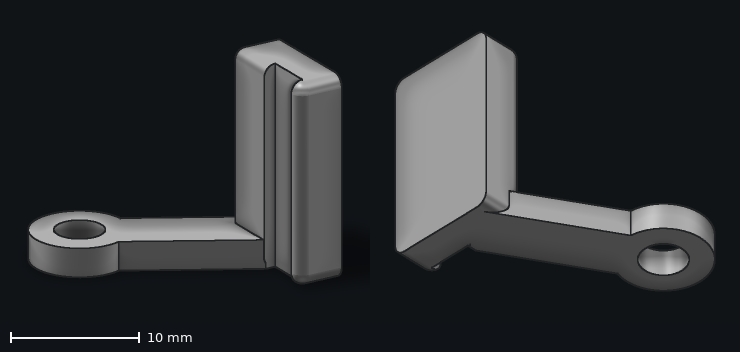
import cadquery as cq

overall_width = 18.5
overall_depth = 19

block_width = 10.0
block_depth = 4.0
block_height = 17.0
edge_radius = 1.0

groove_left = block_width / 2
groove_right = block_width - edge_radius
groove_depth = edge_radius

ring_diameter = 8.0
hole_diameter = 4.0
ring_x = block_width - overall_width + ring_diameter / 2
ring_y = ring_diameter / 2 - overall_depth
plate_thickness = 2.43
arm_angle = 60
arm_length = 15.01
arm_width = 5.0
arm_offset = 0.17


def make_block():
    """Block with every edge rounded except those around its flat back face."""
    block = cq.Workplane("XY").box(block_width, block_depth, block_height, centered=False)
    block = block.translate((0, -block_depth, 0))
    return block.edges("not(>Y)").fillet(edge_radius)


def make_arm():
    """Straight arm running from the ring centre into the block."""
    arm = (
        cq.Workplane("XY")
        .center(arm_length / 2, -arm_offset)
        .rect(arm_length, arm_width)
        .extrude(plate_thickness)
    )
    arm = arm.rotate((0, 0, 0), (0, 0, 1), arm_angle)
    return arm.translate((ring_x, ring_y, 0))


def make_ring():
    return cq.Workplane("XY").center(ring_x, ring_y).circle(ring_diameter / 2).extrude(plate_thickness)


def make_hole():
    return cq.Workplane("XY").center(ring_x, ring_y).circle(hole_diameter / 2).extrude(plate_thickness)


def make_groove():
    """Full-height cutter that also trims the arm where it would enter the groove."""
    groove = cq.Workplane("XY").box(
        groove_right - groove_left, groove_depth, block_height, centered=False
    )
    return groove.translate((groove_left, -block_depth, 0))


result = make_block().union(make_arm()).union(make_ring())
result = result.cut(make_hole()).cut(make_groove())